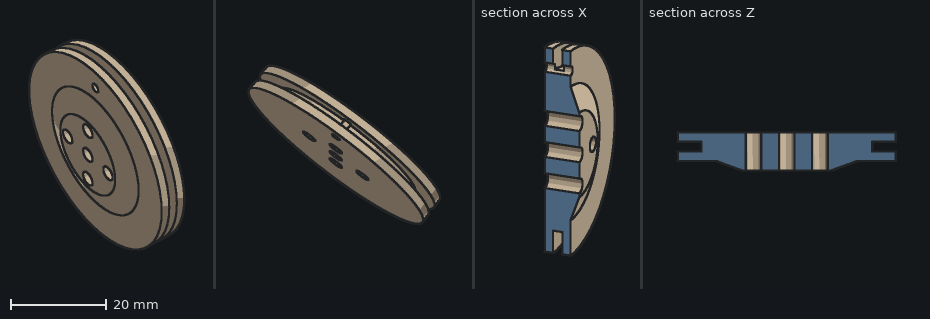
import cadquery as cq

total_depth = 8.0
layer = total_depth / 4
disc_diameter = 46
core_diameter = 36.0
cone_base_diameter = 30.0
cone_top_diameter = 19.0

hub_hole_diameter = 3.2
hub_hole_offset = 7.0
cord_hole_diameter = 2.0
cord_hole_offset = 18.5


def cylinder(diameter, start, length, x=0, z=0):
    """Cylinder running towards -Y from y = -start."""
    return (
        cq.Workplane("XZ", origin=(x, -start, z))
        .circle(diameter / 2)
        .extrude(length)
    )


def cone():
    """Flat-topped cone on the front disc, revolved about the Y axis."""
    base_y = -3 * layer
    top_y = -total_depth
    return (
        cq.Workplane("XY")
        .moveTo(0, base_y)
        .lineTo(cone_base_diameter / 2, base_y)
        .lineTo(cone_top_diameter / 2, top_y)
        .lineTo(0, top_y)
        .close()
        .revolve(360, (0, 0, 0), (0, 1, 0))
    )


result = cylinder(disc_diameter, 0, layer)
result = result.union(cylinder(core_diameter, layer, layer))
result = result.union(cylinder(disc_diameter, 2 * layer, layer))
result = result.union(cone())

hub_hole_places = [
    (0, 0),
    (hub_hole_offset, 0),
    (-hub_hole_offset, 0),
    (0, hub_hole_offset),
    (0, -hub_hole_offset),
]
for x, z in hub_hole_places:
    result = result.cut(cylinder(hub_hole_diameter, 0, total_depth, x, z))

result = result.cut(cylinder(cord_hole_diameter, 0, total_depth, 0, cord_hole_offset))